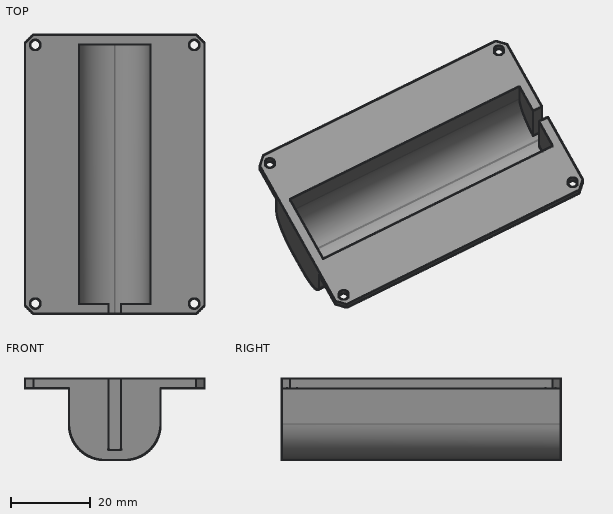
import cadquery as cq

length = 70.0
flange_width = 45.0
flange_thickness = 2.5
corner_chamfer = 2.1
hole_diameter = 2.5
hole_inset = 2.6

total_height = 20.5
wall = 2.5
trough_width = 23.0
outer_radius = 9.0
cavity_width = trough_width - 2 * wall
cavity_radius = 8.9
cavity_length = length - 2 * wall

slot_width = 3.15


def rounded_bottom_block(width, block_length, height, radius):
    """Block with its top at Z = 0 and both lower long edges rounded."""
    block = cq.Workplane("XY").box(width, block_length, height, centered=(True, True, False))
    return block.translate((0, 0, -height)).edges("|Y and <Z").fillet(radius)


def make_flange():
    plate = cq.Workplane("XY").box(flange_width, length, flange_thickness, centered=(True, True, False))
    plate = plate.translate((0, 0, -flange_thickness)).edges("|Z").chamfer(corner_chamfer)
    return (
        plate.faces(">Z")
        .workplane()
        .rect(flange_width - 2 * hole_inset, length - 2 * hole_inset, forConstruction=True)
        .vertices()
        .hole(hole_diameter)
    )


def make_slot():
    strip_height = total_height - wall
    strip = cq.Workplane("XY").box(slot_width, length / 2, strip_height, centered=(True, False, False))
    strip = strip.translate((0, -length / 2, -strip_height))
    return strip.intersect(rounded_bottom_block(cavity_width, length, strip_height, cavity_radius))


trough = rounded_bottom_block(trough_width, length, total_height, outer_radius)
cavity = rounded_bottom_block(cavity_width, cavity_length, total_height - wall, cavity_radius)

result = make_flange().union(trough).cut(cavity).cut(make_slot())